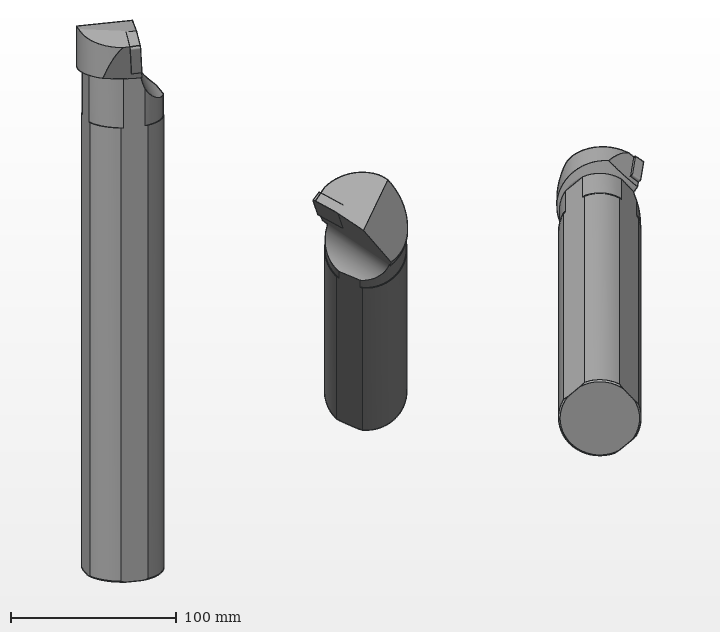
import cadquery as cq
import math


shank_diameter = 50.0
neck_diameter = 49.0
axis_to_flat = 23.5
shank_chamfer = 1.0
neck_start = 291.0

head_diameter = 58.4
head_offset = (head_diameter - shank_diameter) / 2
head_bottom = 322.5
head_top = 350.09
underside_angle = math.radians(15.0)
back_bevel_angle = math.radians(45.0)
back_bevel_start_x = -1.6

rake_turn = math.radians(10.2)
rake_lean = math.radians(4.5)
rake_distance = 6.3
runout_start = 323.0
runout_radius = 21.0

lead_angle = math.radians(15.0)
insert_edge = 19.05
insert_thickness = 6.35
insert_corner_radius = 1.2
tip_x = 35.13
tip_z = 345.43

end_clearance_point = (16.6, -2.7, head_top)
end_clearance_normal = (0.255, -0.115, 1.0)
side_clearance_point = (31.7, -8.6, 344.7)
side_clearance_normal = (math.cos(lead_angle), -0.1, -math.sin(lead_angle))

cutter_size = 120.0
cutter_margin = 10.0

rake_direction = cq.Vector(math.sin(rake_turn), math.cos(rake_turn), 0)
rake_normal = rake_direction * math.cos(rake_lean) + cq.Vector(0, 0, math.sin(rake_lean))


def rake_reach(z):
    """Distance from the Z axis to the rake face, along the rake direction, at height z."""
    return rake_distance + (head_top - z) * math.tan(rake_lean)


def block_beyond(point, normal):
    """Block on the side of a plane that its normal points to."""
    plane = cq.Plane(origin=point, normal=normal)
    return cq.Workplane(plane).rect(cutter_size, cutter_size).extrude(cutter_size)


def flat_cutter(point, normal):
    """Block that mills one flat over the full length of the shank and neck."""
    plane = cq.Plane(origin=point, xDir=(0, 0, 1), normal=normal)
    return cq.Workplane(plane).rect(2 * head_bottom, cutter_size).extrude(cutter_size)


def make_shank():
    shank = cq.Workplane("XY").circle(shank_diameter / 2).extrude(neck_start)
    shank = shank.faces("<Z").chamfer(shank_chamfer)
    neck = cq.Workplane("XY", origin=(0, 0, neck_start))
    neck = neck.circle(neck_diameter / 2).extrude(head_bottom - neck_start)
    shank = shank.union(neck)
    for flat_normal in [(0, 1, 0), (0, -1, 0), (1, 0, 0)]:
        flat_point = cq.Vector(flat_normal) * axis_to_flat
        shank = shank.cut(flat_cutter(flat_point, flat_normal))
    return shank


def make_head():
    cylinder = cq.Workplane("XY", origin=(head_offset, 0, head_bottom))
    cylinder = cylinder.circle(head_diameter / 2).extrude(head_top - head_bottom)

    neck_radius = neck_diameter / 2
    cone_radius = neck_radius + (head_top - head_bottom) / math.tan(underside_angle)
    cone = (
        cq.Workplane("XZ")
        .moveTo(0, head_bottom)
        .lineTo(neck_radius, head_bottom)
        .lineTo(cone_radius, head_top)
        .lineTo(0, head_top)
        .close()
        .revolve(360, (0, 0, 0), (0, 1, 0))
    )
    head = cylinder.intersect(cone)

    back_bevel_point = (back_bevel_start_x, 0, head_top)
    back_bevel_normal = (-math.sin(back_bevel_angle), 0, math.cos(back_bevel_angle))
    head = head.cut(block_beyond(back_bevel_point, back_bevel_normal))
    head = head.cut(block_beyond(end_clearance_point, end_clearance_normal))
    return head.cut(block_beyond(side_clearance_point, side_clearance_normal))


def make_rake_cutter():
    """Prism in front of the rake face; its profile is a leaning line and a tangent arc."""
    top_z = head_top + cutter_margin
    runout_reach = rake_reach(runout_start)
    centre_reach = runout_reach + runout_radius * math.cos(rake_lean)
    centre_z = runout_start + runout_radius * math.sin(rake_lean)
    floor_z = centre_z - runout_radius
    arc_middle = (
        centre_reach - runout_radius * math.cos(math.pi / 4),
        centre_z - runout_radius * math.sin(math.pi / 4),
    )
    plane = cq.Plane(
        origin=(0, 0, 0),
        xDir=rake_direction,
        normal=rake_direction.cross(cq.Vector(0, 0, 1)),
    )
    return (
        cq.Workplane(plane)
        .moveTo(rake_reach(top_z), top_z)
        .lineTo(runout_reach, runout_start)
        .threePointArc(arc_middle, (centre_reach, floor_z))
        .lineTo(cutter_size, floor_z)
        .lineTo(cutter_size, top_z)
        .close()
        .extrude(cutter_size, both=True)
    )


def make_insert():
    """Square plate whose top is flush with the rake face and whose sharp corner is the tip."""
    tip_y = (rake_reach(tip_z) - tip_x * rake_direction.x) / rake_direction.y
    edge_x = math.cos(lead_angle)
    edge_z = -math.sin(lead_angle)
    edge_y = -(rake_normal.x * edge_x + rake_normal.z * edge_z) / rake_normal.y
    plane = cq.Plane(
        origin=(tip_x, tip_y, tip_z),
        xDir=(edge_x, edge_y, edge_z),
        normal=rake_normal,
    )
    return (
        cq.Workplane(plane)
        .center(-insert_edge / 2, insert_edge / 2)
        .rect(insert_edge, insert_edge)
        .extrude(-insert_thickness)
        .edges(cq.selectors.ParallelDirSelector(rake_normal))
        .fillet(insert_corner_radius)
    )


insert = make_insert()
holder = make_shank().union(make_head()).cut(make_rake_cutter()).cut(insert)

result = cq.Compound.makeCompound([holder.solids().val(), insert.solids().val()])